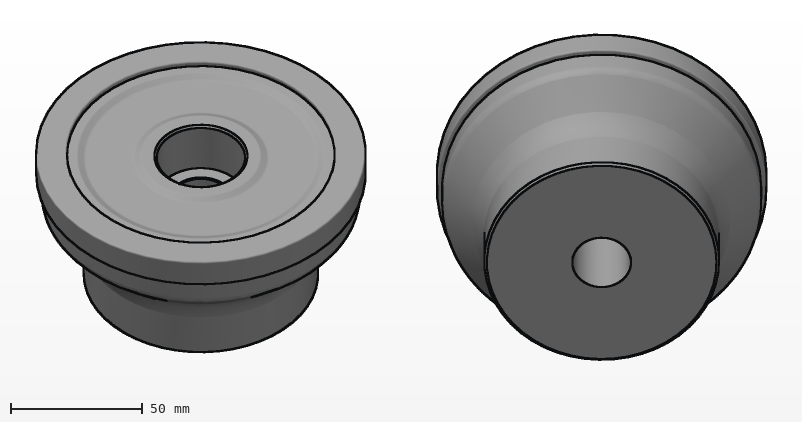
import cadquery as cq
import math

OUTER_RADIUS = 62.5
HEIGHT = 63.0

RING_HEIGHT = 11.5
RING_BORE_RADIUS = 50.8
RING_FILLET = 0.8

SHOULDER_RADIUS = 60.5
NECK_RADIUS = 44.5
CONE_ANGLE = 45.0
SHOULDER_CORNER_Z = 40.9
SHOULDER_FILLET = 4.5
NECK_FILLET = 15.0
FOOT_CHAMFER = 1.0

HUB_TOP_DROP = 2.0
GROOVE_DEPTH = 1.2
GROOVE_OUTER_RADIUS = 46.8
GROOVE_INNER_RADIUS = 22.8
GROOVE_WALL_RUN = 2.8
GROOVE_FILLET = 2.2
GROOVE_LIP_FILLET = 1.2

BORE_RADIUS = 16.8
BORE_CHAMFER = 0.9
BORE_FLOOR_Z = 39.6
THROUGH_RADIUS = 11.1
THROUGH_CHAMFER = 0.4

SELECT_MARGIN = 0.01

RING_BOTTOM_Z = HEIGHT - RING_HEIGHT
HUB_TOP_Z = HEIGHT - HUB_TOP_DROP
GROOVE_FLOOR_Z = HUB_TOP_Z - GROOVE_DEPTH
CONE_DROP = (SHOULDER_RADIUS - NECK_RADIUS) / math.tan(math.radians(CONE_ANGLE))
GROOVE_FLOOR_OUTER_RADIUS = GROOVE_OUTER_RADIUS - GROOVE_WALL_RUN
GROOVE_FLOOR_INNER_RADIUS = GROOVE_INNER_RADIUS + GROOVE_WALL_RUN
NECK_CORNER_Z = SHOULDER_CORNER_Z - CONE_DROP


def revolve(points):
    """Solid of revolution about Z from a closed list of (radius, z) points."""
    return cq.Workplane("XZ").polyline(points).close().revolve(360, (0, 0, 0), (0, 1, 0))


def edges_within(reach, z):
    """Selector for edges lying at one height and no farther than reach from the Z axis."""
    low = (-reach, -reach, z - SELECT_MARGIN)
    high = (reach, reach, z + SELECT_MARGIN)
    return cq.selectors.BoxSelector(low, high, boundingbox=True)


def circle_edge(radius, z):
    """Selector for the circular edge of one radius and height around the Z axis."""
    return edges_within(radius + SELECT_MARGIN, z) - edges_within(radius - SELECT_MARGIN, z)


def make_ring():
    """Flat tread ring with every edge rounded except the lower bore edge."""
    ring = revolve([
        (RING_BORE_RADIUS, RING_BOTTOM_Z),
        (OUTER_RADIUS, RING_BOTTOM_Z),
        (OUTER_RADIUS, HEIGHT),
        (RING_BORE_RADIUS, HEIGHT),
    ])
    for radius, z in [
        (OUTER_RADIUS, RING_BOTTOM_Z),
        (OUTER_RADIUS, HEIGHT),
        (RING_BORE_RADIUS, HEIGHT),
    ]:
        ring = ring.edges(circle_edge(radius, z)).fillet(RING_FILLET)
    return ring


def make_hub():
    """Stepped hub whose spigot fills the ring bore."""
    hub = revolve([
        (THROUGH_RADIUS, 0),
        (NECK_RADIUS, 0),
        (NECK_RADIUS, NECK_CORNER_Z),
        (SHOULDER_RADIUS, SHOULDER_CORNER_Z),
        (SHOULDER_RADIUS, RING_BOTTOM_Z),
        (RING_BORE_RADIUS, RING_BOTTOM_Z),
        (RING_BORE_RADIUS, HUB_TOP_Z),
        (GROOVE_OUTER_RADIUS, HUB_TOP_Z),
        (GROOVE_FLOOR_OUTER_RADIUS, GROOVE_FLOOR_Z),
        (GROOVE_FLOOR_INNER_RADIUS, GROOVE_FLOOR_Z),
        (GROOVE_INNER_RADIUS, HUB_TOP_Z),
        (BORE_RADIUS, HUB_TOP_Z),
        (BORE_RADIUS, BORE_FLOOR_Z),
        (THROUGH_RADIUS, BORE_FLOOR_Z),
    ])

    hub = hub.edges(circle_edge(SHOULDER_RADIUS, SHOULDER_CORNER_Z)).fillet(SHOULDER_FILLET)
    hub = hub.edges(circle_edge(NECK_RADIUS, NECK_CORNER_Z)).fillet(NECK_FILLET)
    hub = hub.edges(circle_edge(NECK_RADIUS, 0)).chamfer(FOOT_CHAMFER)

    for floor_radius in (GROOVE_FLOOR_OUTER_RADIUS, GROOVE_FLOOR_INNER_RADIUS):
        hub = hub.edges(circle_edge(floor_radius, GROOVE_FLOOR_Z)).fillet(GROOVE_FILLET)
    for lip_radius in (GROOVE_OUTER_RADIUS, GROOVE_INNER_RADIUS):
        hub = hub.edges(circle_edge(lip_radius, HUB_TOP_Z)).fillet(GROOVE_LIP_FILLET)

    hub = hub.edges(circle_edge(BORE_RADIUS, HUB_TOP_Z)).chamfer(BORE_CHAMFER)
    hub = hub.edges(circle_edge(THROUGH_RADIUS, BORE_FLOOR_Z)).chamfer(THROUGH_CHAMFER)
    return hub


ring = make_ring()
hub = make_hub()
result = cq.Compound.makeCompound([ring.val(), hub.val()])